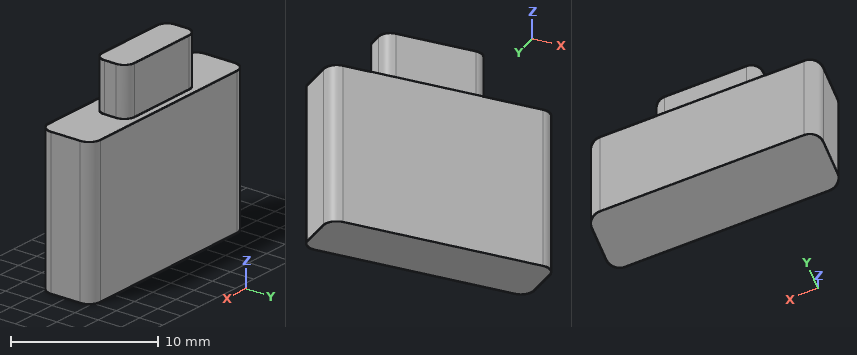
import cadquery as cq

body_width = 17.0
body_depth = 4.5
body_height = 12.0
body_corner_radius = 1.0

total_height = 16.0
plug_width = 7.8
plug_depth = 2.8
plug_corner_radius = 0.9
plug_offset_y = 0.25
plug_height = total_height - body_height


def rounded_block(width, depth, height, corner_radius):
    """Block standing on Z = 0, centred in X and Y, with rounded vertical edges."""
    block = cq.Workplane("XY").box(width, depth, height, centered=(True, True, False))
    return block.edges("|Z").fillet(corner_radius)


body = rounded_block(body_width, body_depth, body_height, body_corner_radius)
plug = rounded_block(plug_width, plug_depth, plug_height, plug_corner_radius)

result = body.union(plug.translate((0, plug_offset_y, body_height)))